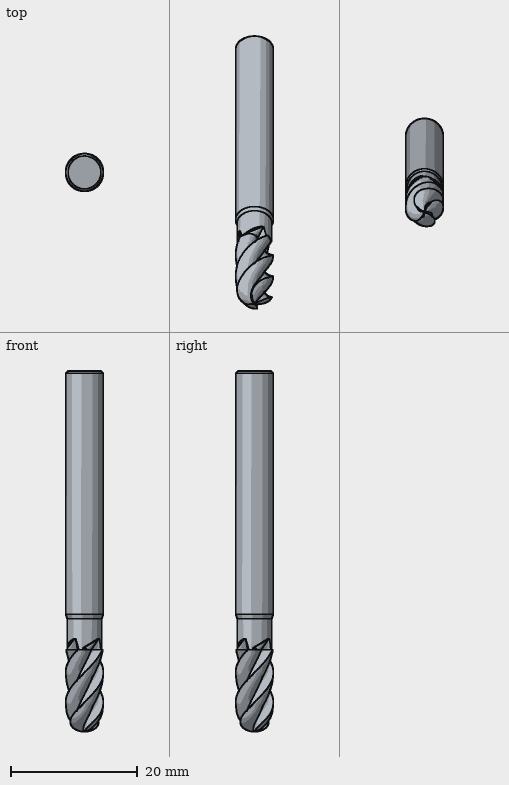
import cadquery as cq
import math


overall_length = 57.0
diameter = 6.0
neck_diameter = 5.5
core_diameter = 3.1
cutting_length = 13.0
neck_top = 17.9
neck_cone_top = 18.6
shank_chamfer = 0.4
flute_count = 4
helix_angle = 45.0

margin_angle = 9.0
margin_end_radius = 2.95
back_angle = 42.0
back_radius = 2.42
root_angle = 66.0
rake_angle = 85.0
rake_radius = 1.95
top_edge_angle = 249.0

tip_radius = 0.3
ball_section_count = 8
straight_section_count = 20

runout_length = 1.7
runout_peak_angle = 79.0
runout_middle_height = 0.6
runout_middle_scale = 0.47
runout_end_scale = 0.08
runout_outer_radius = 4.5
runout_outer_angle = 25.0

radius = diameter / 2
neck_radius = neck_diameter / 2
core_radius = core_diameter / 2
tooth_pitch = 360 / flute_count
lead = math.pi * diameter / math.tan(math.radians(helix_angle))
twist_rate = 360 / lead


def polar(distance, angle):
    return (
        distance * math.cos(math.radians(angle)),
        distance * math.sin(math.radians(angle)),
    )


def edge_angle(z):
    """Direction of the first cutting edge at height z."""
    return top_edge_angle - twist_rate * (cutting_length - z)


def add_flute(outline, start, scale):
    """Continue an outline over the convex tooth back and the hollow rake face."""
    back_middle = polar(scale * back_radius, start + back_angle)
    root = polar(scale * core_radius, start + root_angle)
    rake_middle = polar(scale * rake_radius, start + rake_angle)
    next_edge = polar(scale * radius, start + tooth_pitch)
    return outline.threePointArc(back_middle, root).threePointArc(rake_middle, next_edge)


def cutter_section(z, section_radius):
    """Closed four-tooth section at height z, scaled to the given section radius."""
    scale = section_radius / radius
    first = edge_angle(z)
    outline = cq.Workplane("XY", origin=(0, 0, z)).moveTo(*polar(section_radius, first))
    for tooth in range(flute_count):
        start = first + tooth * tooth_pitch
        outline = outline.lineTo(*polar(scale * margin_end_radius, start + margin_angle))
        outline = add_flute(outline, start, scale)
    return outline.close()


def make_cutter():
    """Helical teeth lofted from the tip, over the ball end and up the straight length."""
    wires = []
    for index in range(ball_section_count):
        latitude = math.radians(90 * index / ball_section_count)
        section_radius = max(tip_radius, radius * math.sin(latitude))
        wires.append(cutter_section(radius * (1 - math.cos(latitude)), section_radius).val())
    straight_length = cutting_length - radius
    for index in range(straight_section_count + 1):
        z = radius + straight_length * index / straight_section_count
        wires.append(cutter_section(z, radius).val())
    return cq.Workplane(cq.Solid.makeLoft(wires))


def make_runout(start):
    """Flute void that narrows upward to a peak on the neck surface."""
    void = cq.Workplane("XY").moveTo(*polar(margin_end_radius, start + margin_angle))
    void = add_flute(void, start, 1)
    outer_middle = polar(runout_outer_radius, start + (runout_outer_angle + tooth_pitch) / 2)
    outer_start = polar(runout_outer_radius, start + runout_outer_angle)
    void = void.lineTo(*polar(runout_outer_radius, start + tooth_pitch))
    void = void.threePointArc(outer_middle, outer_start).close().val()
    peak_x, peak_y = polar(neck_radius, start + runout_peak_angle)
    sections = []
    for height, scale in ((0, 1), (runout_middle_height, runout_middle_scale), (1, runout_end_scale)):
        shift = cq.Vector(
            (1 - scale) * peak_x,
            (1 - scale) * peak_y,
            cutting_length + height * runout_length,
        )
        sections.append(void.scale(scale).translate(shift))
    return cq.Workplane(cq.Solid.makeLoft(sections))


def make_shank():
    """Chamfered shank, short cone and neck, with the flutes running out in the neck."""
    shank = (
        cq.Workplane("XZ")
        .moveTo(0, cutting_length)
        .lineTo(neck_radius, cutting_length)
        .lineTo(neck_radius, neck_top)
        .lineTo(radius, neck_cone_top)
        .lineTo(radius, overall_length - shank_chamfer)
        .lineTo(radius - shank_chamfer, overall_length)
        .lineTo(0, overall_length)
        .close()
        .revolve(360, (0, 0), (0, 1))
    )
    for flute in range(flute_count):
        shank = shank.cut(make_runout(top_edge_angle + flute * tooth_pitch))
    return shank


cutter = make_cutter()
shank = make_shank()

result = cq.Compound.makeCompound([cutter.val(), shank.val()])